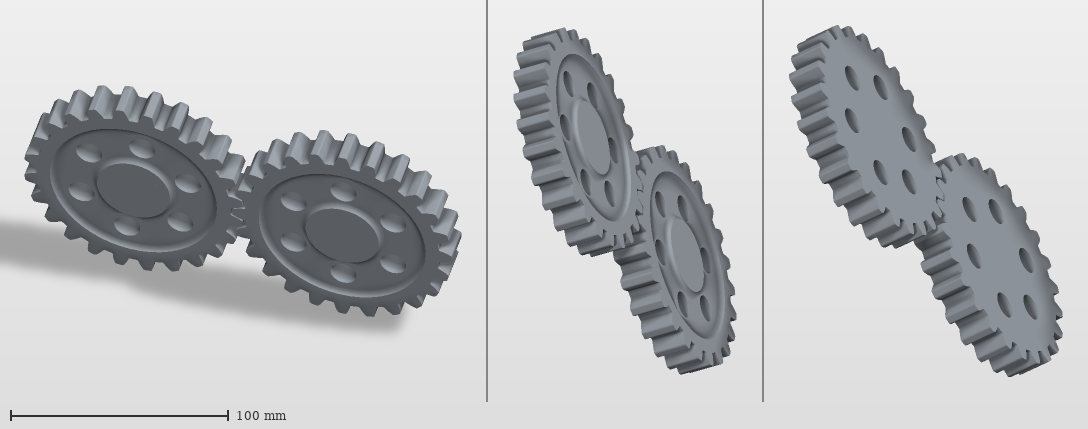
import cadquery as cq
import math

FACE_WIDTH = 16.0
TOOTH_COUNT = 24
TIP_DIAMETER = 105.0
ROOT_DIAMETER = 92.8
ADDENDUM_FACTOR = 0.6
PRESSURE_ANGLE = math.radians(24)
BACKLASH = 0.51
TIP_FILLET = 1.0
ROOT_FILLET = 0.8

TIP_RADIUS = TIP_DIAMETER / 2
ROOT_RADIUS = ROOT_DIAMETER / 2
PITCH_RADIUS = TIP_RADIUS / (1 + 2 * ADDENDUM_FACTOR / TOOTH_COUNT)
BASE_RADIUS = PITCH_RADIUS * math.cos(PRESSURE_ANGLE)
CENTER_DISTANCE = 2 * PITCH_RADIUS
TOOTH_PITCH = 2 * math.pi / TOOTH_COUNT
TOOTH_THICKNESS = PITCH_RADIUS * TOOTH_PITCH / 2 - BACKLASH

HUB_DIAMETER = 35.0
RECESS_DIAMETER = 80.0
RECESS_DEPTH = 2.0
RECESS_FILLET = 3.0
RECESS_FLANK_WIDTH = math.sqrt(RECESS_FILLET**2 - (RECESS_FILLET - RECESS_DEPTH) ** 2)

HOLE_COUNT = 6
HOLE_DIAMETER = 12.5
HOLE_CIRCLE_DIAMETER = 55.0
FIRST_HOLE_ANGLE = 90

PIN_DIAMETER = 25.0

EDGE_TOLERANCE = 0.02


def involute_angle(radius):
    """Polar angle swept by the involute from the base circle out to a radius."""
    pressure_angle = math.acos(BASE_RADIUS / radius)
    return math.tan(pressure_angle) - pressure_angle


def tooth_half_angle(radius):
    """Half the angle that a tooth spans at a radius."""
    pitch_half_angle = TOOTH_THICKNESS / (2 * PITCH_RADIUS)
    return pitch_half_angle + involute_angle(PITCH_RADIUS) - involute_angle(radius)


def polar_point(radius, angle):
    return (radius * math.cos(angle), radius * math.sin(angle))


def make_toothed_blank():
    """Gear disc with involute teeth, one of them centred on +X, rounded at root and tip."""
    middle_radius = (ROOT_RADIUS + TIP_RADIUS) / 2
    root_angle = tooth_half_angle(ROOT_RADIUS)
    middle_angle = tooth_half_angle(middle_radius)
    tip_angle = tooth_half_angle(TIP_RADIUS)

    outline = cq.Workplane("XZ").moveTo(*polar_point(ROOT_RADIUS, -root_angle))
    for index in range(TOOTH_COUNT):
        center = index * TOOTH_PITCH
        next_gap = center + TOOTH_PITCH / 2
        next_tooth = center + TOOTH_PITCH
        outline = (
            outline
            .threePointArc(
                polar_point(middle_radius, center - middle_angle),
                polar_point(TIP_RADIUS, center - tip_angle),
            )
            .threePointArc(
                polar_point(TIP_RADIUS, center),
                polar_point(TIP_RADIUS, center + tip_angle),
            )
            .threePointArc(
                polar_point(middle_radius, center + middle_angle),
                polar_point(ROOT_RADIUS, center + root_angle),
            )
            .threePointArc(
                polar_point(ROOT_RADIUS, next_gap),
                polar_point(ROOT_RADIUS, next_tooth - root_angle),
            )
        )
    return outline.close().extrude(-FACE_WIDTH)


def round_corners(blank, radius, fillet):
    """Fillet the tooth edges along Y that lie at a given radius from the gear axis."""
    corners = [
        edge
        for edge in blank.edges("|Y").vals()
        if abs(math.hypot(edge.Center().x, edge.Center().z) - radius) < EDGE_TOLERANCE
    ]
    return blank.newObject(corners).fillet(fillet)


def make_recess():
    """Cutter for the ring recess, whose floor curves up to the front face at both walls."""
    hub_radius = HUB_DIAMETER / 2
    rim_radius = RECESS_DIAMETER / 2
    return (
        cq.Workplane("XY")
        .moveTo(hub_radius, 0)
        .radiusArc((hub_radius + RECESS_FLANK_WIDTH, RECESS_DEPTH), RECESS_FILLET)
        .lineTo(rim_radius - RECESS_FLANK_WIDTH, RECESS_DEPTH)
        .radiusArc((rim_radius, 0), RECESS_FILLET)
        .close()
        .revolve(360, (0, 0, 0), (0, 1, 0))
    )


def make_holes():
    """Cutter for the ring of lightening holes."""
    return (
        cq.Workplane("XZ")
        .polarArray(HOLE_CIRCLE_DIAMETER / 2, FIRST_HOLE_ANGLE, 360, HOLE_COUNT)
        .circle(HOLE_DIAMETER / 2)
        .extrude(-FACE_WIDTH)
    )


def make_pin():
    """Pin on the Y axis, as long as the gear is wide."""
    return cq.Workplane("XZ").circle(PIN_DIAMETER / 2).extrude(-FACE_WIDTH)


def make_gear():
    """Gear on the Y axis, with a bore that fits the pin."""
    gear = make_toothed_blank()
    gear = round_corners(gear, TIP_RADIUS, TIP_FILLET)
    gear = round_corners(gear, ROOT_RADIUS, ROOT_FILLET)
    return gear.cut(make_recess()).cut(make_holes()).cut(make_pin())


LEFT_GEAR_TURN = math.degrees(TOOTH_PITCH) / 2
AXIS_START = (0, 0, 0)
AXIS_END = (0, 1, 0)

bodies = []
for axis_x, turn in ((0, LEFT_GEAR_TURN), (CENTER_DISTANCE, 0)):
    for body in (make_gear(), make_pin()):
        placed = body.rotate(AXIS_START, AXIS_END, turn).translate((axis_x, 0, 0))
        bodies.append(placed.solids().val())

result = cq.Compound.makeCompound(bodies)